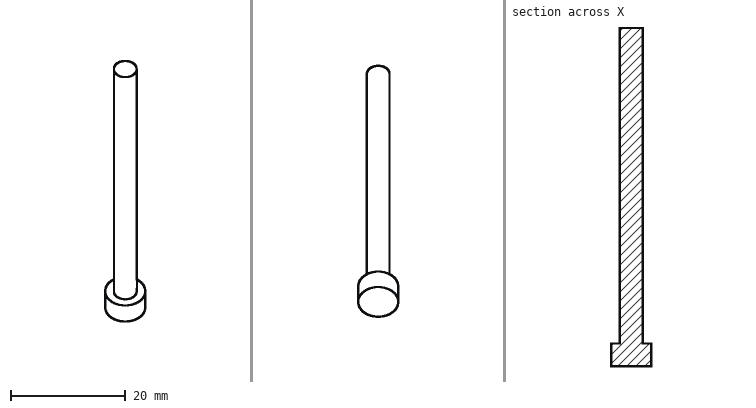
import cadquery as cq

total_length = 59.0
head_diameter = 7.0
head_height = 4.0
shank_diameter = 4.0

head = cq.Workplane("XY").circle(head_diameter / 2).extrude(head_height)

shank_length = total_length - head_height
result = head.faces(">Z").workplane().circle(shank_diameter / 2).extrude(shank_length)